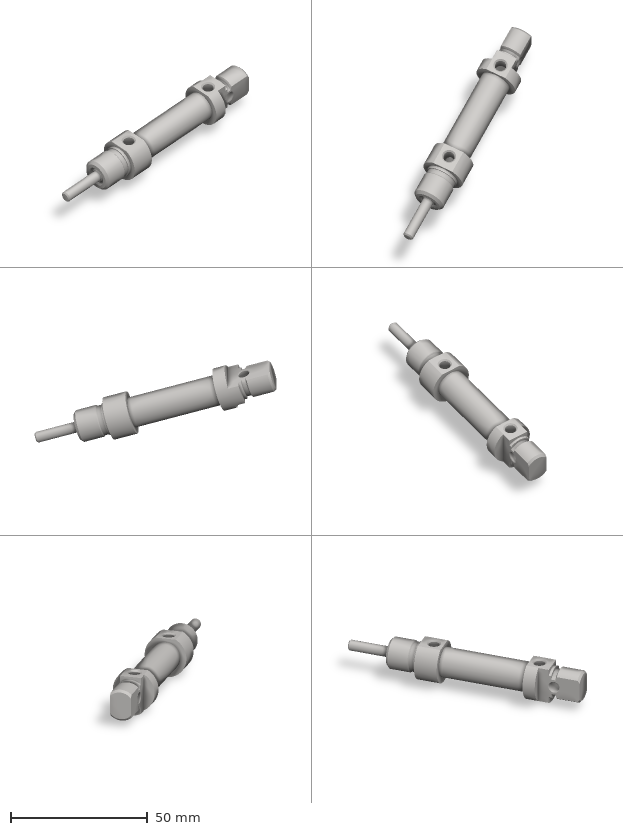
import cadquery as cq
import math


total_length = 91.0
collar_d = 16.0
collar_flat_z = 7.0
neck_d = 12.0

tail_chamfer = 0.8
rear_groove_start = 8.9
rear_groove_end = 11.0
rear_groove_d = 10.0
rear_groove_run_in = 0.55
rear_collar_start = 12.0
rear_collar_end = 20.75
rear_port_station = 17.0
tail_width = 8.0
side_flat_end = 16.0
pivot_hole_d = 4.0
pivot_mouth_d = 4.5
pivot_hole_station = 10.0

tube_d = 11.3
tube_bore_d = 10.0
tube_start = 22.4
tube_end = 52.8

front_collar_start = 54.1
front_collar_end = 63.0
front_port_station = 58.1
front_flange_end = 64.1
front_groove_end = 65.9
front_groove_d = 11.2
thread_start = 66.25
front_end = 75.0
thread_chamfer = 1.0

mouth_d = 7.4
recess_d = 6.7
recess_floor_d = 6.5
recess_depth = 1.0
wiper_base_d = 5.55
wiper_tip_d = 4.7
wiper_bore_d = 4.5
wiper_setback = 0.4
mouth_chamfer = (mouth_d - recess_d) / 2

rod_d = 4.0
rod_tip_d = 3.0
rod_chamfer = (rod_d - rod_tip_d) / 2

port_d = 4.1
port_mouth_d = 5.2
port_chamfer = (port_mouth_d - port_d) / 2
port_depth = 5.0
drill_tip_angle = 118.0


def revolved(profile):
    """Turn a closed list of (diameter, station) points about the Y axis."""
    points = [(diameter / 2, -station) for diameter, station in profile]
    return cq.Workplane("XY").polyline(points).close().revolve(360, (0, 0, 0), (0, 1, 0))


def port_cutter(station, depth, tip_height):
    """Chamfered port drilled down from the collar flat, ending in a cone."""
    radius = port_d / 2
    profile = [
        (0, 0),
        (port_mouth_d / 2, 0),
        (radius, -port_chamfer),
        (radius, -depth),
        (0, -depth - tip_height),
    ]
    cutter = cq.Workplane("XZ").polyline(profile).close().revolve(360, (0, 0, 0), (0, 1, 0))
    return cutter.translate((0, -station, collar_flat_z))


def collar_flat_cutter():
    """Block that removes everything above the port flat over the full length."""
    block = cq.Workplane("XY").box(collar_d, total_length, collar_d, centered=(True, True, False))
    return block.translate((0, -total_length / 2, collar_flat_z))


def side_flat_cutter(side):
    """Block that cuts one side flat on the tail and the back of the collar."""
    block = cq.Workplane("XY").box(collar_d, side_flat_end, 2 * collar_d)
    return block.translate((side * (tail_width + collar_d) / 2, -side_flat_end / 2, 0))


def pivot_hole_cutter():
    """Cross hole through the tail along X, chamfered at both side flats."""
    half_width = tail_width / 2
    radius = pivot_hole_d / 2
    mouth_radius = pivot_mouth_d / 2
    chamfer = mouth_radius - radius
    profile = [
        (-half_width, 0),
        (-half_width, mouth_radius),
        (-half_width + chamfer, radius),
        (half_width - chamfer, radius),
        (half_width, mouth_radius),
        (half_width, 0),
    ]
    hole = cq.Workplane("XY").polyline(profile).close().revolve(360, (0, 0, 0), (1, 0, 0))
    return hole.translate((0, -pivot_hole_station, 0))


def make_rear_cap():
    cap = revolved([
        (0, 0),
        (neck_d - 2 * tail_chamfer, 0),
        (neck_d, tail_chamfer),
        (neck_d, rear_groove_start),
        (rear_groove_d, rear_groove_start + rear_groove_run_in),
        (rear_groove_d, rear_groove_end),
        (neck_d, rear_groove_end),
        (neck_d, rear_collar_start),
        (collar_d, rear_collar_start),
        (collar_d, rear_collar_end),
        (tube_d, rear_collar_end),
        (tube_d, tube_start),
        (0, tube_start),
    ])
    cap = cap.cut(collar_flat_cutter())
    for side in (-1, 1):
        cap = cap.cut(side_flat_cutter(side))
    cap = cap.cut(pivot_hole_cutter())
    tip_height = port_d / 2 / math.tan(math.radians(drill_tip_angle / 2))
    return cap.cut(port_cutter(rear_port_station, port_depth, tip_height))


def make_tube():
    return revolved([
        (tube_bore_d, tube_start),
        (tube_d, tube_start),
        (tube_d, tube_end),
        (tube_bore_d, tube_end),
    ])


def make_front_cap():
    recess_floor = front_end - recess_depth
    cap = revolved([
        (rod_d, tube_end),
        (tube_d, tube_end),
        (tube_d, front_collar_start),
        (collar_d, front_collar_start),
        (collar_d, front_collar_end),
        (neck_d, front_collar_end),
        (neck_d, front_flange_end),
        (front_groove_d, front_flange_end),
        (front_groove_d, front_groove_end),
        (neck_d, thread_start),
        (neck_d, front_end - thread_chamfer),
        (neck_d - 2 * thread_chamfer, front_end),
        (mouth_d, front_end),
        (recess_d, front_end - mouth_chamfer),
        (recess_floor_d, recess_floor),
        (wiper_base_d, recess_floor),
        (wiper_tip_d, front_end - wiper_setback),
        (wiper_bore_d, front_end - wiper_setback),
        (wiper_bore_d, recess_floor),
        (rod_d, recess_floor),
    ])
    cap = cap.cut(collar_flat_cutter())
    return cap.cut(port_cutter(front_port_station, collar_flat_z, 0))


def make_rod():
    return revolved([
        (0, tube_end),
        (rod_d, tube_end),
        (rod_d, total_length - rod_chamfer),
        (rod_tip_d, total_length),
        (0, total_length),
    ])


rear_cap = make_rear_cap()
tube = make_tube()
front_cap = make_front_cap()
rod = make_rod()

result = cq.Compound.makeCompound([rear_cap.val(), tube.val(), front_cap.val(), rod.val()])